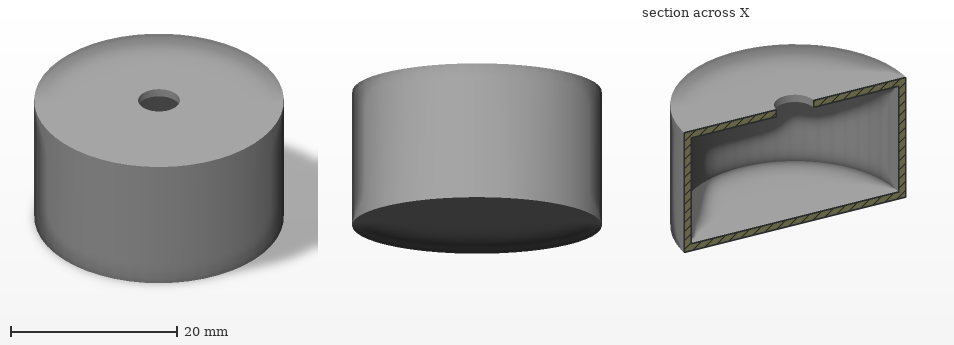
import cadquery as cq

outer_diameter = 30
height = 16.5

cavity_diameter = 28.0
wall = (outer_diameter - cavity_diameter) / 2

hole_diameter = 5.0

body = cq.Workplane("XY").circle(outer_diameter / 2).extrude(height)
cavity = (
    cq.Workplane("XY")
    .workplane(offset=wall)
    .circle(cavity_diameter / 2)
    .extrude(height - 2 * wall)
)
top_hole = (
    cq.Workplane("XY")
    .workplane(offset=height - wall)
    .circle(hole_diameter / 2)
    .extrude(wall)
)

result = body.cut(cavity.union(top_hole))